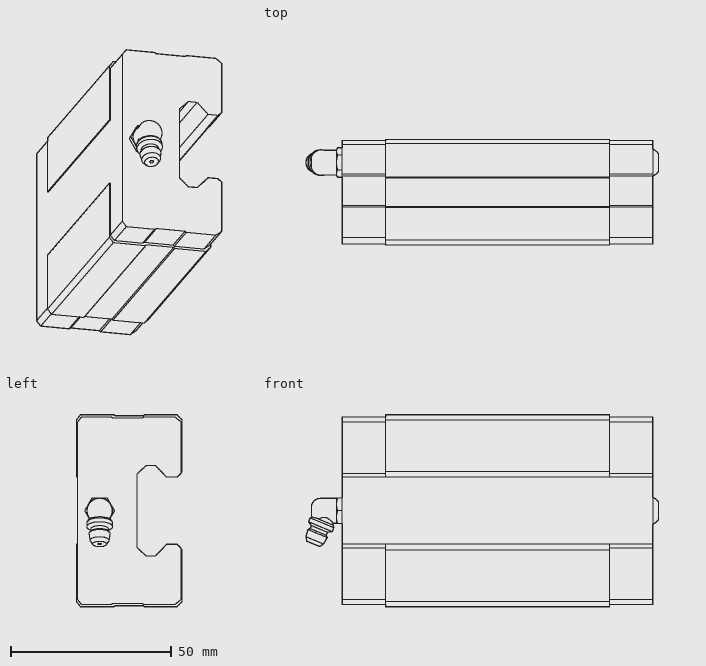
import cadquery as cq
import math

block_length = 97.0
body_length = 70.0
depth = 33.0
height = 60.0
cap_length = (block_length - body_length) / 2

cap_inset_y = 0.3
cap_inset_z = 0.72

back_bevel = (1.3, 1.7)
body_front_bevel = (1.7, 1.7)
cap_front_bevel = (2.0, 1.5)

groove_depth = 0.3
body_groove_outer = (-4.7, 4.7)
body_groove_floor = (-4.4, 4.4)
cap_groove_outer = (-4.6, 5.7)
cap_groove_floor = (-4.2, 5.1)

back_recess_height = 20.9

slot_floor_y = -2.4
slot_floor_half = 11.5
slot_ball_half = 14.1
slot_ball_back_y = -5.3
slot_ball_front_y = -8.2
slot_lip_half = 10.5
slot_lip_y = -11.7
body_lip_bevel = (1.5, 1.8)
cap_lip_bevel = (1.3, 1.1)

fitting_y = 9.3
hex_across_flats = 8.0
hex_length = 1.8
hex_chamfer_angle = 30
elbow_diameter = 7.8
elbow_length = 9.6
elbow_dome_length = 2.8
elbow_flat_diameter = 3.3
nipple_tilt = 22.5
nipple_offset = 4.7
root_diameter = 6.6
collar_diameter = 8.0
collar_bevel_diameter = 7.3
collar_start = 3.4
collar_bevel_end = 4.1
collar_end = 5.4
neck_diameter = 5.5
neck_start = 6.2
head_diameter = 6.6
head_start = 7.7
taper_end_diameter = 6.0
taper_end = 10.0
head_bevel = 0.5
nipple_tip_diameter = 4.4
nipple_length = 11.2
grease_hole_diameter = 1.1
grease_hole_depth = 1.1

plug_base_diameter = 8.5
plug_flat_diameter = 5.5
plug_height = 1.8
plug_bulge = 0.1


def mirrored(upper_points):
    """Close an outline that is symmetric about Z = 0."""
    return upper_points + [(y, -z) for y, z in reversed(upper_points)]


def carriage_section(length, inset_y, inset_z, front_bevel, lip_bevel, groove_outer, groove_floor):
    """Bar with the C-shaped carriage outline, centred on X = 0."""
    back = depth / 2 - inset_y
    front = -back
    top = height / 2 - inset_z
    upper_outline = [
        (back, top - back_bevel[1]),
        (back - back_bevel[0], top),
        (groove_outer[1], top),
        (groove_floor[1], top - groove_depth),
        (groove_floor[0], top - groove_depth),
        (groove_outer[0], top),
        (front + front_bevel[0], top),
        (front, top - front_bevel[1]),
        (front, slot_lip_half + lip_bevel[1]),
        (front + lip_bevel[0], slot_lip_half),
        (slot_lip_y, slot_lip_half),
        (slot_ball_front_y, slot_ball_half),
        (slot_ball_back_y, slot_ball_half),
        (slot_floor_y, slot_floor_half),
    ]
    return (
        cq.Workplane("YZ")
        .polyline(mirrored(upper_outline))
        .close()
        .extrude(length / 2, both=True)
    )


def carriage_body():
    body = carriage_section(
        body_length, 0, 0, body_front_bevel, body_lip_bevel, body_groove_outer, body_groove_floor
    )
    recess = cq.Workplane("XY").box(body_length, 2 * cap_inset_y, back_recess_height)
    return body.cut(recess.translate((0, depth / 2, 0)))


def end_cap(side):
    """End cap at the +X (side = 1) or -X (side = -1) end of the body."""
    cap = carriage_section(
        cap_length,
        cap_inset_y,
        cap_inset_z,
        cap_front_bevel,
        cap_lip_bevel,
        cap_groove_outer,
        cap_groove_floor,
    )
    return cap.translate((side * (body_length + cap_length) / 2, 0, 0))


def fitting_hex():
    """Hexagonal foot with two flats facing up and down, its corners turned down to a cone at the end."""
    flat_radius = hex_across_flats / 2
    corner_radius = flat_radius / math.cos(math.radians(30))
    chamfer_length = (corner_radius - flat_radius) * math.tan(math.radians(hex_chamfer_angle))
    foot = cq.Workplane("YZ").polygon(6, 2 * corner_radius).extrude(-hex_length)
    turned_blank = (
        cq.Workplane("XY")
        .polyline([
            (0, 0),
            (0, corner_radius),
            (chamfer_length - hex_length, corner_radius),
            (-hex_length, flat_radius),
            (-hex_length, 0),
        ])
        .close()
        .revolve(360, (0, 0, 0), (1, 0, 0))
    )
    return foot.intersect(turned_blank)


def fitting_elbow():
    """Round shank whose end domes over to a small flat."""
    radius = elbow_diameter / 2
    return (
        cq.Workplane("XY")
        .lineTo(0, radius)
        .lineTo(elbow_dome_length - elbow_length, radius)
        .tangentArcPoint((-elbow_length, elbow_flat_diameter / 2), relative=False)
        .lineTo(-elbow_length, 0)
        .close()
        .revolve(360, (0, 0, 0), (1, 0, 0))
    )


def fitting_nipple():
    """Turned nipple that starts on the shank axis and points down, tilted toward -X.

    A short grease hole enters its tip.
    """
    half_profile = [
        (0, 0),
        (root_diameter / 2, 0),
        (root_diameter / 2, -collar_start),
        (collar_bevel_diameter / 2, -collar_start),
        (collar_diameter / 2, -collar_bevel_end),
        (collar_diameter / 2, -collar_end),
        (neck_diameter / 2, -neck_start),
        (neck_diameter / 2, -(head_start - head_bevel)),
        (head_diameter / 2, -head_start),
        (taper_end_diameter / 2, -taper_end),
        (nipple_tip_diameter / 2, -nipple_length),
        (grease_hole_diameter / 2, -nipple_length),
        (grease_hole_diameter / 2, grease_hole_depth - nipple_length),
        (0, grease_hole_depth - nipple_length),
    ]
    nipple = cq.Workplane("XZ").polyline(half_profile).close().revolve(360, (0, 0, 0), (0, 1, 0))
    nipple = nipple.rotate((0, 0, 0), (0, 1, 0), nipple_tilt)
    return nipple.translate((-nipple_offset, 0, 0))


def grease_fitting():
    fitting = fitting_hex().union(fitting_elbow()).union(fitting_nipple())
    return fitting.translate((-block_length / 2, fitting_y, 0))


def screw_plug():
    """Button head turned about the X axis: a flat end with a bulging flank."""
    base_radius = plug_base_diameter / 2
    flat_radius = plug_flat_diameter / 2
    flank_middle = (plug_height / 2 + plug_bulge, (base_radius + flat_radius) / 2 + plug_bulge)
    plug = (
        cq.Workplane("XY")
        .moveTo(0, 0)
        .lineTo(0, base_radius)
        .threePointArc(flank_middle, (plug_height, flat_radius))
        .lineTo(plug_height, 0)
        .close()
        .revolve(360, (0, 0, 0), (1, 0, 0))
    )
    return plug.translate((block_length / 2, fitting_y, 0))


result = carriage_body()
for side in (-1, 1):
    result = result.union(end_cap(side))
result = result.union(grease_fitting()).union(screw_plug())